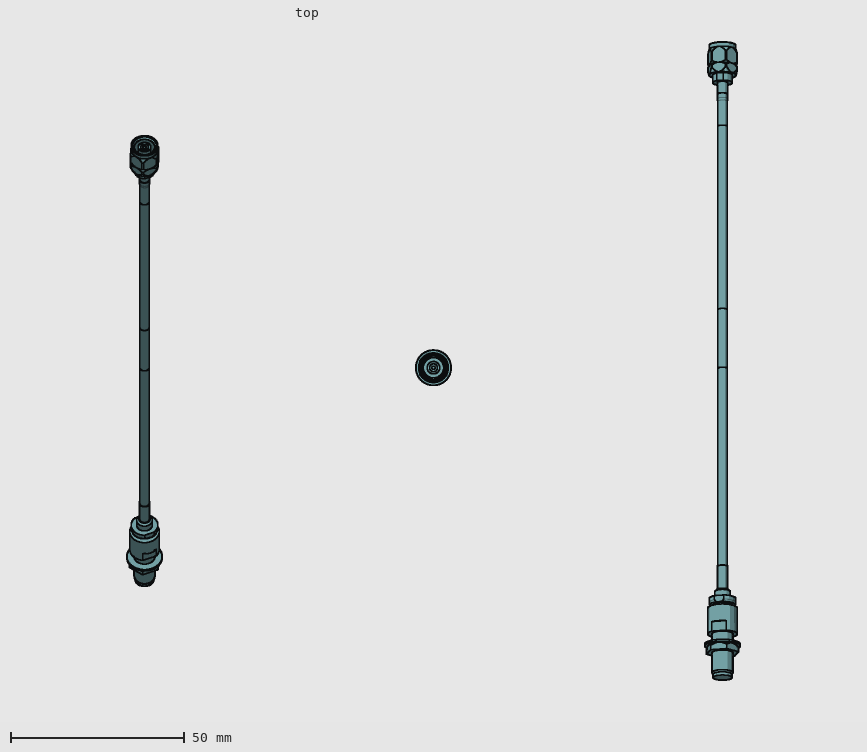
import cadquery as cq


TOTAL_LENGTH = 189.6
FLAT_CUTTER_MARGIN = 1.9
HEX_CORNER_RATIO = 2 / 3**0.5

LABEL_DIAMETER = 2.8
LABEL_WALL = 0.04
CABLE_DIAMETER = LABEL_DIAMETER - 2 * LABEL_WALL
UPPER_SLEEVE_DIAMETER = LABEL_DIAMETER
UPPER_SLEEVE_LIP_DIAMETER = 3.0
LOWER_SLEEVE_DIAMETER = 3.0
LABEL_BOTTOM = 92.7
LABEL_TOP = 110.4
UPPER_SLEEVE_BOTTOM = 165.3
UPPER_SLEEVE_LIP_BEVEL = 173.0
UPPER_SLEEVE_LIP = 173.7
UPPER_SLEEVE_TOP = 175.0
LOWER_SLEEVE_TOP = 33.4

PLUG_STEM_DIAMETER = UPPER_SLEEVE_LIP_DIAMETER
PLUG_FLANGE_BOTTOM = 178.5
PLUG_FLANGE_DIAMETER = 5.7
PLUG_FLANGE_ACROSS_FLATS = 5.3
PLUG_SOCKET_DIAMETER = 3.6
PLUG_SOCKET_BORE_DIAMETER = 2.3
PLUG_SOCKET_TOP = 189.0
PLUG_SOCKET_FLOOR = 183.2
PLUG_PIN_DIAMETER = 1.0

COUPLING_BOTTOM = 180.7
COUPLING_ACROSS_FLATS = 7.8
COUPLING_CORNER_DIAMETER = 8.7
COUPLING_HEX_TOP = 188.3
COUPLING_CHAMFER_HEIGHT = 1.3
COUPLING_GROOVE_Z = 183.5
COUPLING_GROOVE_HALF_WIDTH = 0.5
COUPLING_BORE_DIAMETER = 5.9
COUPLING_MOUTH_DIAMETER = 6.8
COUPLING_MOUTH_DEPTH = 0.5
COUPLING_FLOOR_THICKNESS = 1.1

JACK_TIP_DIAMETER = 5.5
JACK_TIP_HEIGHT = 1.0
JACK_BARREL_DIAMETER = 6.0
JACK_BARREL_START = 1.5
JACK_BODY_DIAMETER = 8.5
JACK_BODY_BOTTOM = 13.0
JACK_BODY_TOP = 20.9
JACK_BODY_ACROSS_FLATS = 7.4
JACK_BODY_FLAT_TOP = 16.0
JACK_GROOVE_DIAMETER = 5.3
JACK_COLLAR_BOTTOM = 21.8
JACK_COLLAR_BEVEL_TOP = 22.5
JACK_COLLAR_TOP = 23.7
JACK_COLLAR_DIAMETER = 7.8
JACK_COLLAR_BEVEL_DIAMETER = 7.4
JACK_COLLAR_ACROSS_FLATS = 7.2
JACK_NECK_DIAMETER = 4.5
JACK_NECK_RIM_DIAMETER = 3.2
JACK_NECK_RIM_Z = 25.8
JACK_TOP = 26.4

WASHER_DIAMETER = 10.2
WASHER_TOP = 10.0
PANEL_NUT_TOP = 9.5
PANEL_NUT_BOTTOM = 7.4
PANEL_NUT_ACROSS_FLATS = 8.3
PANEL_NUT_ACROSS_CORNERS = PANEL_NUT_ACROSS_FLATS * HEX_CORNER_RATIO
PANEL_NUT_CHAMFER_DIAMETER = PANEL_NUT_ACROSS_FLATS
PANEL_NUT_CHAMFER_HEIGHT = 0.8


def cylinder(diameter, bottom, top):
    return cq.Workplane("XY").workplane(offset=bottom).circle(diameter / 2).extrude(top - bottom)


def tube(outer_diameter, inner_diameter, bottom, top):
    return cylinder(outer_diameter, bottom, top).cut(cylinder(inner_diameter, bottom, top))


def turned(profile):
    """Solid of revolution about Z from (diameter, z) points that start and end on the axis."""
    outline = [(diameter / 2, z) for diameter, z in profile]
    return cq.Workplane("XZ").polyline(outline).close().revolve(360, (0, 0), (0, 1))


def hexagon(across_corners, bottom, top):
    """Hexagonal prism with two flats square to X and two corners on Y."""
    return (
        cq.Workplane("XY")
        .workplane(offset=bottom)
        .transformed(rotate=(0, 0, 90))
        .polygon(6, across_corners)
        .extrude(top - bottom)
    )


def with_flats(body, diameter, across_flats, bottom, top):
    """Mill two wrench flats, square to X, on a round stretch of the body."""
    cutter_diameter = diameter + FLAT_CUTTER_MARGIN
    height = top - bottom
    kept = cq.Workplane("XY").box(across_flats, cutter_diameter, height)
    kept = kept.translate((0, 0, bottom + height / 2))
    return body.cut(cylinder(cutter_diameter, bottom, top).cut(kept))


def make_cable():
    return cylinder(CABLE_DIAMETER, JACK_TOP, UPPER_SLEEVE_TOP)


def make_label():
    return tube(LABEL_DIAMETER, CABLE_DIAMETER, LABEL_BOTTOM, LABEL_TOP)


def make_lower_sleeve():
    return tube(LOWER_SLEEVE_DIAMETER, CABLE_DIAMETER, JACK_TOP, LOWER_SLEEVE_TOP)


def make_upper_sleeve():
    outside = turned([
        (0, UPPER_SLEEVE_BOTTOM),
        (UPPER_SLEEVE_DIAMETER, UPPER_SLEEVE_BOTTOM),
        (UPPER_SLEEVE_DIAMETER, UPPER_SLEEVE_LIP_BEVEL),
        (UPPER_SLEEVE_LIP_DIAMETER, UPPER_SLEEVE_LIP),
        (UPPER_SLEEVE_LIP_DIAMETER, UPPER_SLEEVE_TOP),
        (0, UPPER_SLEEVE_TOP),
    ])
    return outside.cut(cylinder(CABLE_DIAMETER, UPPER_SLEEVE_BOTTOM, UPPER_SLEEVE_TOP))


def make_plug():
    stem = cylinder(PLUG_STEM_DIAMETER, UPPER_SLEEVE_TOP, PLUG_FLANGE_BOTTOM)
    flange = cylinder(PLUG_FLANGE_DIAMETER, PLUG_FLANGE_BOTTOM, COUPLING_BOTTOM)
    flange = with_flats(
        flange, PLUG_FLANGE_DIAMETER, PLUG_FLANGE_ACROSS_FLATS, PLUG_FLANGE_BOTTOM, COUPLING_BOTTOM
    )
    socket = cylinder(PLUG_SOCKET_DIAMETER, COUPLING_BOTTOM, PLUG_SOCKET_TOP)
    socket = socket.cut(cylinder(PLUG_SOCKET_BORE_DIAMETER, PLUG_SOCKET_FLOOR, PLUG_SOCKET_TOP))
    pin = cylinder(PLUG_PIN_DIAMETER, PLUG_SOCKET_FLOOR, PLUG_SOCKET_TOP)
    return stem.union(flange).union(socket).union(pin)


def make_coupling_nut():
    envelope = turned([
        (0, COUPLING_BOTTOM),
        (COUPLING_ACROSS_FLATS, COUPLING_BOTTOM),
        (COUPLING_CORNER_DIAMETER, COUPLING_BOTTOM + COUPLING_CHAMFER_HEIGHT),
        (COUPLING_CORNER_DIAMETER, COUPLING_GROOVE_Z - COUPLING_GROOVE_HALF_WIDTH),
        (COUPLING_ACROSS_FLATS, COUPLING_GROOVE_Z),
        (COUPLING_CORNER_DIAMETER, COUPLING_GROOVE_Z + COUPLING_GROOVE_HALF_WIDTH),
        (COUPLING_CORNER_DIAMETER, COUPLING_HEX_TOP - COUPLING_CHAMFER_HEIGHT),
        (COUPLING_ACROSS_FLATS, COUPLING_HEX_TOP),
        (COUPLING_ACROSS_FLATS, TOTAL_LENGTH),
        (0, TOTAL_LENGTH),
    ])
    across_corners = COUPLING_ACROSS_FLATS * HEX_CORNER_RATIO
    bore_floor = COUPLING_BOTTOM + COUPLING_FLOOR_THICKNESS
    bore = turned([
        (0, bore_floor),
        (COUPLING_BORE_DIAMETER, bore_floor),
        (COUPLING_BORE_DIAMETER, TOTAL_LENGTH - COUPLING_MOUTH_DEPTH),
        (COUPLING_MOUTH_DIAMETER, TOTAL_LENGTH),
        (0, TOTAL_LENGTH),
    ])
    return (
        hexagon(across_corners, COUPLING_BOTTOM, TOTAL_LENGTH)
        .intersect(envelope)
        .cut(bore)
        .cut(cylinder(PLUG_SOCKET_DIAMETER, COUPLING_BOTTOM, bore_floor))
    )


def make_jack():
    body = turned([
        (0, 0),
        (JACK_TIP_DIAMETER, 0),
        (JACK_TIP_DIAMETER, JACK_TIP_HEIGHT),
        (JACK_BARREL_DIAMETER, JACK_BARREL_START),
        (JACK_BARREL_DIAMETER, JACK_BODY_BOTTOM),
        (JACK_BODY_DIAMETER, JACK_BODY_BOTTOM),
        (JACK_BODY_DIAMETER, JACK_BODY_TOP),
        (JACK_GROOVE_DIAMETER, JACK_BODY_TOP),
        (JACK_GROOVE_DIAMETER, JACK_COLLAR_BOTTOM),
        (JACK_COLLAR_BEVEL_DIAMETER, JACK_COLLAR_BOTTOM),
        (JACK_COLLAR_DIAMETER, JACK_COLLAR_BEVEL_TOP),
        (JACK_COLLAR_DIAMETER, JACK_COLLAR_TOP),
        (JACK_NECK_DIAMETER, JACK_COLLAR_TOP),
        (JACK_NECK_DIAMETER, JACK_NECK_RIM_Z),
        (JACK_NECK_RIM_DIAMETER, JACK_TOP),
        (0, JACK_TOP),
    ])
    body = with_flats(
        body, JACK_BODY_DIAMETER, JACK_BODY_ACROSS_FLATS, JACK_BODY_BOTTOM, JACK_BODY_FLAT_TOP
    )
    return with_flats(
        body, JACK_COLLAR_DIAMETER, JACK_COLLAR_ACROSS_FLATS, JACK_COLLAR_BOTTOM, JACK_COLLAR_TOP
    )


def make_washer():
    return tube(WASHER_DIAMETER, JACK_BARREL_DIAMETER, PANEL_NUT_TOP, WASHER_TOP)


def make_panel_nut():
    envelope = turned([
        (0, PANEL_NUT_BOTTOM),
        (PANEL_NUT_ACROSS_CORNERS, PANEL_NUT_BOTTOM),
        (PANEL_NUT_ACROSS_CORNERS, PANEL_NUT_TOP - PANEL_NUT_CHAMFER_HEIGHT),
        (PANEL_NUT_CHAMFER_DIAMETER, PANEL_NUT_TOP),
        (0, PANEL_NUT_TOP),
    ])
    return (
        hexagon(PANEL_NUT_ACROSS_CORNERS, PANEL_NUT_BOTTOM, PANEL_NUT_TOP)
        .intersect(envelope)
        .cut(cylinder(JACK_BARREL_DIAMETER, PANEL_NUT_BOTTOM, PANEL_NUT_TOP))
    )


coupling_nut = make_coupling_nut()
plug = make_plug()
upper_sleeve = make_upper_sleeve()
cable = make_cable()
label = make_label()
lower_sleeve = make_lower_sleeve()
jack = make_jack()
washer = make_washer()
panel_nut = make_panel_nut()

result = cq.Compound.makeCompound([
    coupling_nut.val(),
    plug.val(),
    upper_sleeve.val(),
    cable.val(),
    label.val(),
    lower_sleeve.val(),
    jack.val(),
    washer.val(),
    panel_nut.val(),
])